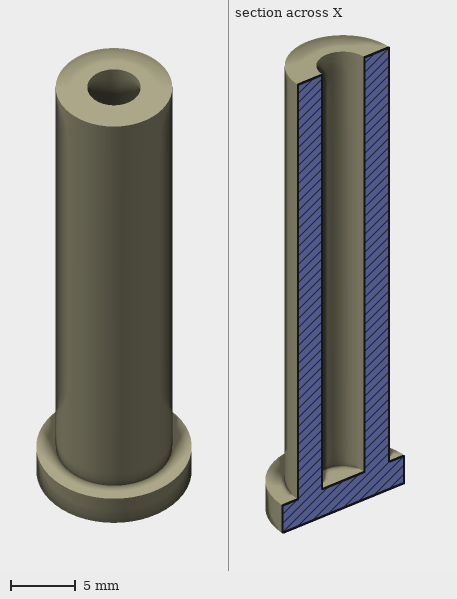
import cadquery as cq

total_height = 40.0
flange_diameter = 12.0
flange_height = 2.5
shank_diameter = 9.0
bore_diameter = 4.1

shank_height = total_height - flange_height
bore_depth = shank_height

flange = cq.Workplane("XY").circle(flange_diameter / 2).extrude(flange_height)

flanged_pin = flange.faces(">Z").workplane().circle(shank_diameter / 2).extrude(shank_height)

result = flanged_pin.faces(">Z").workplane().hole(bore_diameter, bore_depth)